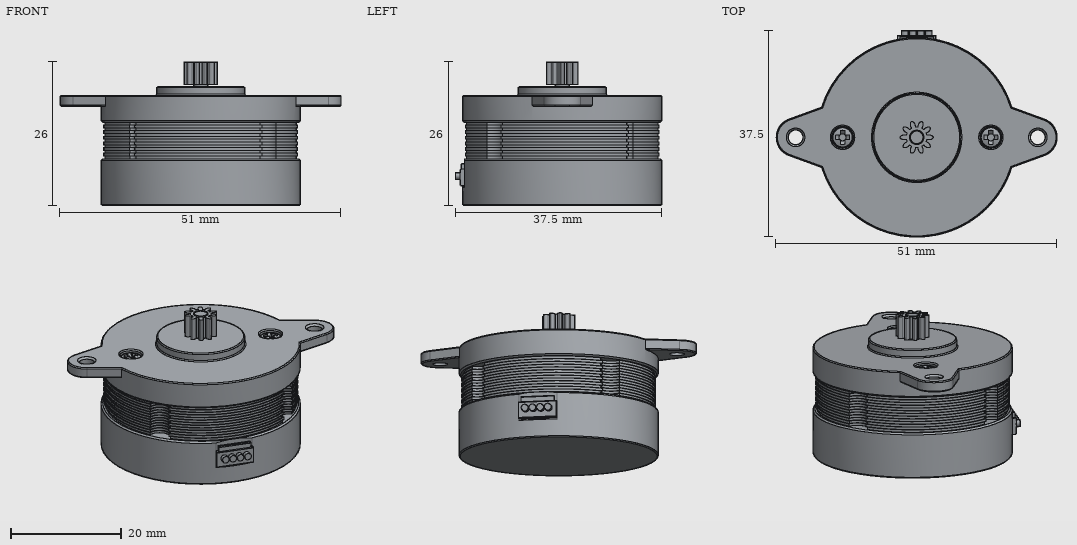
import cadquery as cq
import math

body_dia = 36.2
body_radius = body_dia / 2
rim_chamfer = 0.2
seam_chamfer = 0.3

base_height = 8.45
layer_height = 0.5
layer_count = 13
stator_top = base_height + layer_count * layer_height
cover_height = 4.9
cover_top = stator_top + cover_height

ridge_dia = 35.25
groove_depth = 0.2
wide_notch_dia = 3.65
narrow_notch_dia = 1.2
wide_notch_angles = (-45, 45, 135)
narrow_notch_angle = -135

ear_thickness = 2.0
ear_hole_offset = 22.0
overall_length = 51.0
ear_end_radius = overall_length / 2 - ear_hole_offset
ear_taper = math.radians(20)
ear_root_x = 12.75
ear_hole_dia = 2.65
ear_hole_chamfer = 0.35

boss_dia = 16.0
boss_height = 1.6
boss_top = cover_top + boss_height
boss_foot_bevel = 0.2

shaft_dia = 2.6
shaft_chamfer = 0.15
shaft_bottom = cover_top - ear_thickness
total_height = 26.0
pinion_bottom = 21.95
tooth_count = 10
pinion_root_radius = 1.9
pinion_tip_radius = 3.0
flank_radius = 2.3
shoulder_radius = 2.7
tip_land_radius = 2.95
tooth_root_half = 0.38
tooth_flank_half = 0.435
tooth_shoulder_half = 0.33
tip_land_half = 0.15

screw_offset = 13.45
screw_pocket_dia = 4.0
screw_pocket_chamfer = 0.23
screw_pocket_depth = 1.55
screw_head_dia = 3.8
screw_crown_drop = 0.15
screw_rim_drop = 0.5
screw_rim_chamfer = 0.15
cross_length = 2.95
cross_width = 0.8
cross_core_dia = 1.3
cross_depth = 0.8

connector_width = 7.0
connector_chamfer = 0.15
connector_bottom = 3.55
connector_top = 6.65
connector_face_y = 18.5
tab_width = 6.1
tab_top = 7.6
tab_face_y = 18.35
pin_dia = 1.3
pin_pitch = 1.45
pin_count = 4
pin_end_y = 19.4
pin_z = 5.3
flat_bottom = 3.3
flat_y = math.sqrt(body_radius**2 - (connector_width / 2) ** 2)


def cylinder(diameter, bottom, top):
    return cq.Workplane("XY").workplane(offset=bottom).circle(diameter / 2).extrude(top - bottom)


def block(width, y_range, z_range):
    """Box centred on X = 0 between two Y and two Z limits."""
    depth = y_range[1] - y_range[0]
    height = z_range[1] - z_range[0]
    corner = (-width / 2, y_range[0], z_range[0])
    return cq.Workplane("XY").box(width, depth, height, centered=False).translate(corner)


def make_base():
    base = cylinder(body_dia, 0, base_height)
    base = base.faces("<Z").chamfer(rim_chamfer).faces(">Z").chamfer(seam_chamfer)
    flat = block(body_dia, (flat_y, body_dia), (flat_bottom, base_height))
    return base.cut(flat)


def make_layer(bottom, inset):
    """One lamination whose whole outline is moved inward by the inset."""
    top = bottom + layer_height
    ridge_radius = ridge_dia / 2
    layer = cylinder(ridge_dia - 2 * inset, bottom, top)
    notches = [(angle, wide_notch_dia) for angle in wide_notch_angles]
    notches.append((narrow_notch_angle, narrow_notch_dia))
    for angle, diameter in notches:
        notch = cylinder(diameter + 2 * inset, bottom, top).translate((ridge_radius, 0, 0))
        layer = layer.cut(notch.rotate((0, 0, 0), (0, 0, 1), angle))
    return layer


def make_stator():
    stator = make_layer(base_height, groove_depth)
    for index in range(1, layer_count):
        inset = groove_depth if index % 2 == 0 else 0
        stator = stator.union(make_layer(base_height + index * layer_height, inset))
    return stator


def make_ear():
    """Tapered ear on the +X side, tangent to its rounded end."""
    tangent_x = ear_hole_offset + ear_end_radius * math.sin(ear_taper)
    tangent_y = ear_end_radius * math.cos(ear_taper)
    root_y = tangent_y + (tangent_x - ear_root_x) * math.tan(ear_taper)
    return (
        cq.Workplane("XY")
        .workplane(offset=cover_top - ear_thickness)
        .moveTo(ear_root_x, -root_y)
        .lineTo(tangent_x, -tangent_y)
        .threePointArc((ear_hole_offset + ear_end_radius, 0), (tangent_x, tangent_y))
        .lineTo(ear_root_x, root_y)
        .close()
        .extrude(ear_thickness)
        .faces("<Z or >Z")
        .chamfer(rim_chamfer)
    )


def chamfered_hole(diameter, depth, chamfer):
    """Cutting tool for a round hole in the cover face with a bevelled mouth."""
    mouth = (
        cq.Workplane("XY")
        .workplane(offset=cover_top - chamfer)
        .circle(diameter / 2)
        .workplane(offset=chamfer)
        .circle(diameter / 2 + chamfer)
        .loft()
    )
    return cylinder(diameter, cover_top - depth, cover_top).union(mouth)


def make_boss():
    boss = cylinder(boss_dia, cover_top, boss_top).faces(">Z").chamfer(rim_chamfer)
    foot = (
        cq.Workplane("XY")
        .workplane(offset=cover_top)
        .circle(boss_dia / 2 + boss_foot_bevel)
        .workplane(offset=boss_foot_bevel)
        .circle(boss_dia / 2)
        .loft()
    )
    return boss.union(foot)


def make_cover():
    cover = cylinder(body_dia, stator_top, cover_top)
    cover = cover.faces(">Z").chamfer(rim_chamfer).faces("<Z").chamfer(seam_chamfer)
    ear = make_ear()
    ear_hole = chamfered_hole(ear_hole_dia, ear_thickness, ear_hole_chamfer)
    screw_pocket = chamfered_hole(screw_pocket_dia, screw_pocket_depth, screw_pocket_chamfer)
    cover = cover.union(ear).union(ear.mirror("YZ"))
    for side in (-1, 1):
        cover = cover.cut(ear_hole.translate((side * ear_hole_offset, 0, 0)))
        cover = cover.cut(screw_pocket.translate((side * screw_offset, 0, 0)))
    return cover.union(make_boss()).cut(cylinder(shaft_dia, shaft_bottom, boss_top))


def make_shaft():
    return cylinder(shaft_dia, shaft_bottom, total_height).faces(">Z").chamfer(shaft_chamfer)


def make_pinion():
    height = total_height - pinion_bottom
    pinion = cylinder(2 * pinion_root_radius, pinion_bottom, total_height)
    tooth = (
        cq.Workplane("XY")
        .workplane(offset=pinion_bottom)
        .moveTo(shaft_dia / 2, -tooth_root_half)
        .lineTo(pinion_root_radius, -tooth_root_half)
        .lineTo(flank_radius, -tooth_flank_half)
        .threePointArc((shoulder_radius, -tooth_shoulder_half), (tip_land_radius, -tip_land_half))
        .threePointArc((pinion_tip_radius, 0), (tip_land_radius, tip_land_half))
        .threePointArc((shoulder_radius, tooth_shoulder_half), (flank_radius, tooth_flank_half))
        .lineTo(pinion_root_radius, tooth_root_half)
        .lineTo(shaft_dia / 2, tooth_root_half)
        .close()
        .extrude(height)
    )
    for index in range(tooth_count):
        pinion = pinion.union(tooth.rotate((0, 0, 0), (0, 0, 1), index * 360 / tooth_count))
    return pinion.cut(cylinder(shaft_dia, pinion_bottom, total_height))


def make_cross_recess():
    """Cross recess whose arms slope down to a round core."""
    crown = cover_top - screw_crown_drop
    floor = crown - cross_depth
    funnel = (
        cq.Workplane("XY")
        .workplane(offset=floor)
        .circle(cross_core_dia / 2)
        .workplane(offset=cross_depth)
        .circle(cross_length / 2)
        .loft()
    )
    arm = cq.Workplane("XY").workplane(offset=floor).rect(cross_length, cross_width).extrude(cross_depth)
    cross = arm.union(arm.rotate((0, 0, 0), (0, 0, 1), 90))
    return cross.intersect(funnel).union(cylinder(cross_core_dia, floor, crown))


def make_screw(x):
    """Domed screw head resting on the floor of its pocket."""
    head_radius = screw_head_dia / 2
    bottom = cover_top - screw_pocket_depth
    rim = cover_top - screw_rim_drop
    dome_radius = head_radius - screw_rim_chamfer
    crown = cover_top - screw_crown_drop
    dome_rise = crown - rim
    sphere_radius = (dome_radius**2 + dome_rise**2) / (2 * dome_rise)
    mid_radius = dome_radius / 2
    mid_z = crown - sphere_radius + math.sqrt(sphere_radius**2 - mid_radius**2)
    head = (
        cq.Workplane("XZ")
        .moveTo(0, bottom)
        .lineTo(head_radius, bottom)
        .lineTo(head_radius, rim - screw_rim_chamfer)
        .lineTo(dome_radius, rim)
        .threePointArc((mid_radius, mid_z), (0, crown))
        .close()
        .revolve(360, (0, 0, 0), (0, 1, 0))
    )
    return head.cut(make_cross_recess()).translate((x, 0, 0))


def make_connector():
    connector = block(connector_width, (flat_y, connector_face_y), (connector_bottom, connector_top))
    connector = connector.faces(">Y").edges("|X").chamfer(connector_chamfer)
    for index in range(pin_count):
        x = (index - (pin_count - 1) / 2) * pin_pitch
        pin = cylinder(pin_dia, flat_y, pin_end_y).rotate((0, 0, 0), (1, 0, 0), -90)
        connector = connector.union(pin.translate((x, 0, pin_z)))
    return connector


def make_tab():
    """Narrow block standing on top of the connector."""
    tab = block(tab_width, (flat_y, tab_face_y), (connector_top, tab_top))
    return tab.faces(">Y").edges("|X").edges(">Z").chamfer(connector_chamfer)


base = make_base()
stator = make_stator()
cover = make_cover()
shaft = make_shaft()
pinion = make_pinion()
screws = [make_screw(side * screw_offset) for side in (-1, 1)]
connector = make_connector()
tab = make_tab()

result = cq.Compound.makeCompound(
    [
        base.val(),
        stator.val(),
        cover.val(),
        shaft.val(),
        pinion.val(),
        *[screw.val() for screw in screws],
        connector.val(),
        tab.val(),
    ]
)